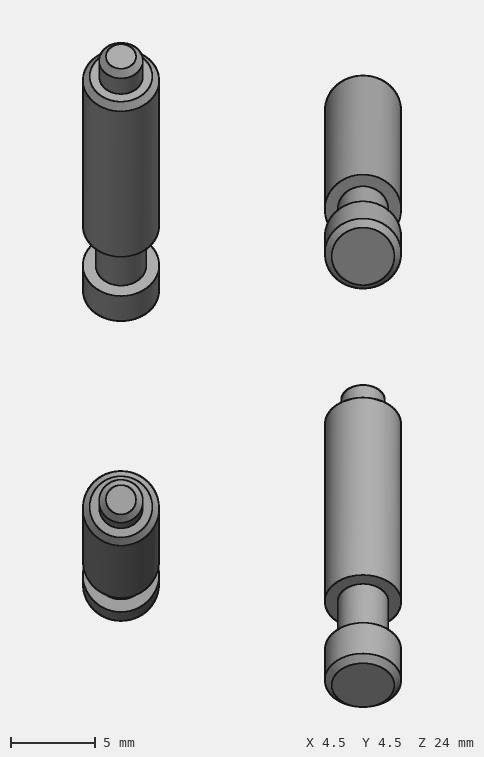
import cadquery as cq

total_height = 24.0
body_diameter = 4.5
neck_diameter = 3.0
tip_diameter = 2.6
head_height = 2.95
neck_height = 3.95
tip_height = 2.0
chamfer = 0.4

body_height = total_height - head_height - neck_height - tip_height


def cylinder(diameter, height, base_z):
    """Round section standing on the Z axis with its lower face at base_z."""
    return cq.Workplane("XY").workplane(offset=base_z).circle(diameter / 2).extrude(height)


neck_base = head_height
body_base = neck_base + neck_height
tip_base = body_base + body_height

head = cylinder(body_diameter, head_height, 0).faces("<Z").chamfer(chamfer)
neck = cylinder(neck_diameter, neck_height, neck_base)
body = cylinder(body_diameter, body_height, body_base).faces(">Z").chamfer(chamfer)
tip = cylinder(tip_diameter, tip_height, tip_base).faces(">Z").chamfer(chamfer)

result = head.union(neck).union(body).union(tip)